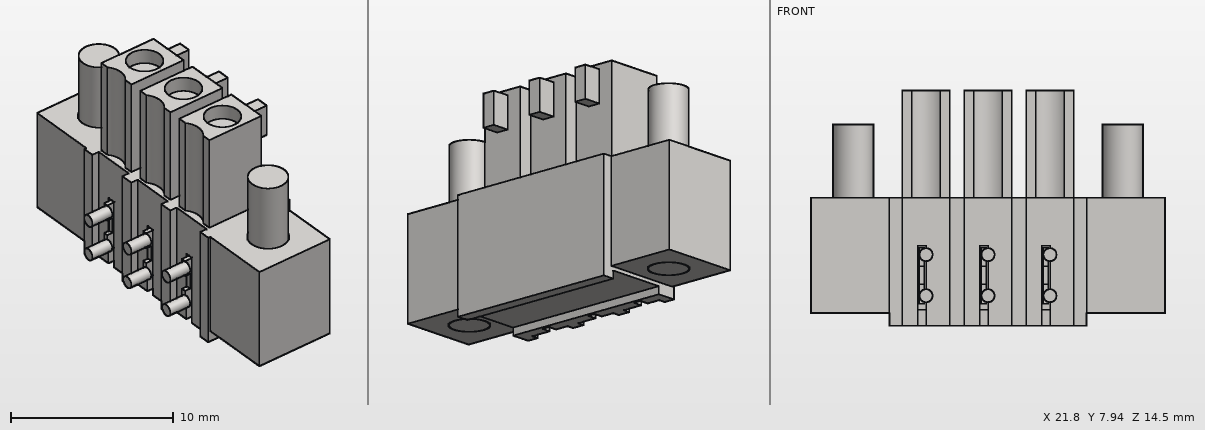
import cadquery as cq


pole_pitch = 3.82
pole_count = 3
pole_positions = [(index - (pole_count - 1) / 2) * pole_pitch for index in range(pole_count)]

block_length = 12.15
block_depth = 6.44
block_height = 7.9
front_foot_depth = 1.4
back_foot_depth = 0.87
foot_height = 0.52

overall_length = 21.82
flange_front = 0.15
flange_depth = 5.59
flange_bottom = 0.79
axis_y = flange_front + flange_depth / 2

overall_height = 14.5
tower_width = 2.95
tower_front = 0.72
tower_depth = 4.12
tower_height = overall_height - block_height
bore_diameter = 2.31
bore_depth = 1.0
scallop_width = 1.77
scallop_depth = 0.33

key_width = 0.87
key_length = 1.27
key_height = 2.23
key_drop = 0.35

groove_depth = 0.5
slot_top = 4.93
pocket_bottom = 0.98
channel_depth = 0.65
pocket_depth = 1.53

pin_diameter = 0.8
pin_tip = -1.5
pin_base = 0.07
pin_heights = (1.85, 4.39)
blade_thickness = 0.3
blade_bottom = 1.37
blade_height = 3.43
blade_notch_bottom = 2.55
blade_notch_height = 1.11
web_front = 0.45
blade_left = -pin_diameter / 2
slot_clearance = 0.1
slot_width = blade_thickness + 2 * slot_clearance

screw_spacing = 16.6
screw_positions = (-screw_spacing / 2, screw_spacing / 2)
screw_diameter = 2.5
screw_top = 12.42
screw_hole_diameter = 2.6


def box(x, y, z, length, depth, height):
    """Box with its lowest corner at (x, y, z)."""
    return cq.Workplane("XY").box(length, depth, height, centered=False).translate((x, y, z))


def cylinder(x, y, z, diameter, height):
    """Upright cylinder standing on (x, y, z)."""
    return cq.Workplane("XY").circle(diameter / 2).extrude(height).translate((x, y, z))


def make_block():
    """Central block on two feet, with a flange at each end."""
    block = box(-block_length / 2, 0, 0, block_length, block_depth, block_height)
    recess_depth = block_depth - front_foot_depth - back_foot_depth
    recess = box(-block_length / 2, front_foot_depth, 0, block_length, recess_depth, foot_height)
    flange_bar = box(
        -overall_length / 2, flange_front, flange_bottom,
        overall_length, flange_depth, block_height - flange_bottom,
    )
    return block.cut(recess).union(flange_bar)


def make_tower(x):
    """Pole tower with a scalloped front, a blind bore and a coding key on its back."""
    tower_back = tower_front + tower_depth
    tower = (
        cq.Workplane("XY")
        .moveTo(x - tower_width / 2, tower_front)
        .lineTo(x - scallop_width / 2, tower_front)
        .threePointArc((x, tower_front + scallop_depth), (x + scallop_width / 2, tower_front))
        .lineTo(x + tower_width / 2, tower_front)
        .lineTo(x + tower_width / 2, tower_back)
        .lineTo(x - tower_width / 2, tower_back)
        .close()
        .extrude(tower_height)
        .translate((0, 0, block_height))
    )
    key_bottom = overall_height - key_drop - key_height
    key = box(x - key_width / 2, tower_back, key_bottom, key_width, key_length, key_height)
    bore = cylinder(x, axis_y, overall_height - bore_depth, bore_diameter, bore_depth)
    return tower.union(key).cut(bore)


def make_pole_recess(x):
    """Front groove of one pole with the channel and the deeper pocket for its contact."""
    slot_left = x + blade_left - slot_clearance
    groove = box(x - tower_width / 2, 0, 0, tower_width, groove_depth, block_height)
    channel = box(slot_left, groove_depth, 0, slot_width, channel_depth, pocket_bottom)
    pocket = box(
        slot_left, groove_depth, pocket_bottom,
        slot_width, pocket_depth, slot_top - pocket_bottom,
    )
    return groove.union(channel).union(pocket)


def make_housing():
    """Block, flanges and towers as one body, open for the contacts and the screws."""
    housing = make_block()
    for x in pole_positions:
        housing = housing.union(make_tower(x)).cut(make_pole_recess(x))
    for x in screw_positions:
        housing = housing.cut(
            cylinder(x, axis_y, flange_bottom, screw_hole_diameter, block_height - flange_bottom)
        )
    return housing


def make_contact(x):
    """Blade resting on the pocket's back wall, notched in front between its two pins."""
    blade_back = groove_depth + pocket_depth
    left = x + blade_left
    contact = box(left, pin_base, blade_bottom, blade_thickness, blade_back - pin_base, blade_height)
    contact = contact.cut(
        box(left, pin_base, blade_notch_bottom, blade_thickness, web_front - pin_base, blade_notch_height)
    )
    for z in pin_heights:
        pin_plane = cq.Workplane("XZ", origin=(x, pin_base, z))
        pin = pin_plane.circle(pin_diameter / 2).extrude(pin_base - pin_tip)
        contact = contact.union(pin)
    return contact


def make_screw(x):
    """Screw running through its flange, flush with the flange underside."""
    return cylinder(x, axis_y, flange_bottom, screw_diameter, screw_top - flange_bottom)


housing = make_housing()
contacts = [make_contact(x) for x in pole_positions]
screws = [make_screw(x) for x in screw_positions]

result = cq.Compound.makeCompound(
    [
        housing.val(),
        *[contact.val() for contact in contacts],
        *[screw.val() for screw in screws],
    ]
)